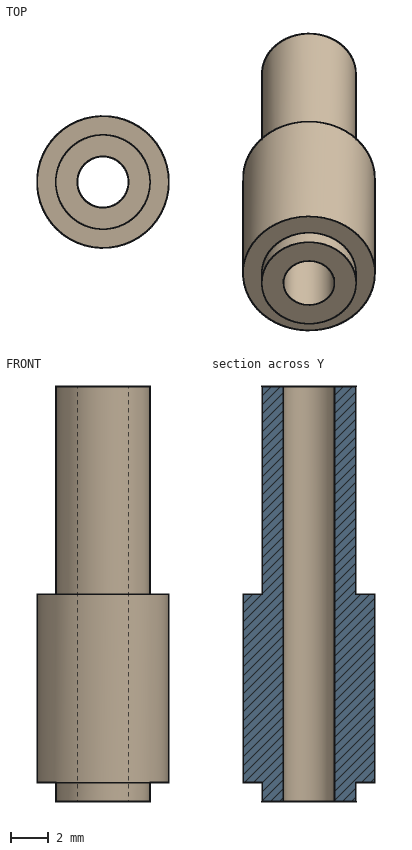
import cadquery as cq

body_diameter = 7.0
stem_diameter = 5.0
bore_diameter = 2.7

spigot_length = 1.0
body_length = 10.0
stem_length = 11.0


def make_stepped_post():
    """Short spigot, wide body and long stem stacked on one axis."""
    return (
        cq.Workplane("XY")
        .circle(stem_diameter / 2)
        .extrude(spigot_length)
        .faces(">Z")
        .workplane()
        .circle(body_diameter / 2)
        .extrude(body_length)
        .faces(">Z")
        .workplane()
        .circle(stem_diameter / 2)
        .extrude(stem_length)
    )


def drill_bore(post):
    """Cut the axial bore through the full length."""
    return post.faces(">Z").workplane().hole(bore_diameter)


result = drill_bore(make_stepped_post())